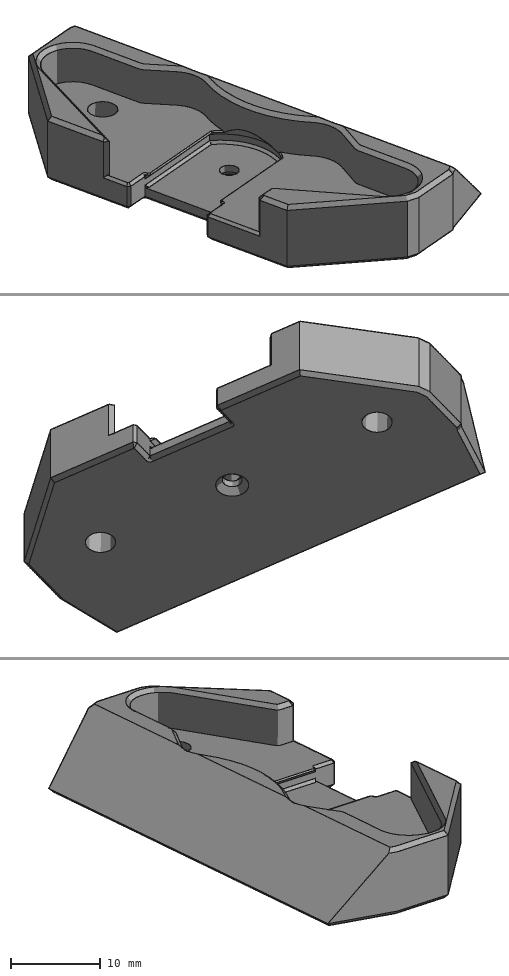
import cadquery as cq
import math

height = 8.2
depth = 25.8
edge_break = 0.5
small_break = 0.3
overlap = 0.55

left_side = -26.8
right_side = 26.8
front_half_width = 16.65
back_half_width = 24.6
side_back_y = 17.5
right_bevel = 0.55
right_bevel_top_y = 11.05
right_shoulder_x = 26.55
right_shoulder_y = 18.0

notch_half_width = 5.3
notch_depth = 3.0
recess_floor = 1.6
recess_radius = 7.3
recess_arc_setback = 1.5
recess_front_y = -5.35
undercut_z = 2.75
overhang_height = 2.4
lip_break = 0.15

pocket_floor = 3.4
pocket_back_y = 15.35
lobe_x = 21.75
lobe_radius = 3.65
lobe_angle = 28
arc_radius = 14.7
hump_radius = 4.2
wave_angle = 30
ramp_fillet = 1.6
opening_right = 12.4
opening_fillet = 0.8

hole_y = pocket_back_y - lobe_radius
recess_arc_y = hole_y - recess_arc_setback
center_hole_d = 2.2
countersink_depth = 0.75
side_hole_d = 3.4
side_hole_x = (-17.6, 19.35)


def body_outline():
    """Outline with the front notch; the right wall carries two extra bevels."""
    diagonal = -left_side - front_half_width
    right_bevel_x = right_side - right_bevel
    return [
        (-notch_half_width, notch_depth),
        (-notch_half_width, small_break),
        (-notch_half_width - small_break, 0),
        (-front_half_width, 0),
        (left_side, diagonal),
        (left_side, side_back_y),
        (-back_half_width, depth),
        (back_half_width, depth),
        (right_shoulder_x, right_shoulder_y),
        (right_side, side_back_y),
        (right_side, right_bevel_top_y),
        (right_bevel_x, right_bevel_x - front_half_width),
        (front_half_width, 0),
        (notch_half_width + small_break, 0),
        (notch_half_width, small_break),
        (notch_half_width, notch_depth),
    ]


def body_layer(bottom, top, taper=0):
    """Slice of the body; a 45 degree taper gives a chamfered edge."""
    outline = cq.Workplane("XY").polyline(body_outline()).close()
    return outline.extrude(top - bottom, taper=taper).translate((0, 0, bottom))


def make_body():
    middle = body_layer(edge_break, height - edge_break)
    top = body_layer(height - edge_break, height, 45)
    bottom = body_layer(0, edge_break, 45).mirror("XY").translate((0, 0, edge_break))
    body = middle.union(top).union(bottom)
    slope = height - edge_break
    back_cut = (
        cq.Workplane("YZ")
        .polyline([
            (depth - slope - overlap, height + overlap),
            (depth, edge_break),
            (depth + overlap, edge_break),
            (depth + overlap, height + overlap),
        ])
        .close()
        .extrude(right_side - left_side, both=True)
    )
    return body.cut(back_cut)


def lobe_points():
    """Tangent point of the straight front wall on the right lobe, and the middle of its arc."""
    tangent = math.radians(90 - lobe_angle)
    middle = math.radians(lobe_angle / 2)
    end_point = (
        lobe_x + lobe_radius * math.cos(tangent),
        hole_y - lobe_radius * math.sin(tangent),
    )
    middle_point = (
        lobe_x + lobe_radius * math.cos(middle),
        hole_y + lobe_radius * math.sin(middle),
    )
    return end_point, middle_point


def pocket_outline():
    """Pocket plan: two round lobes, a waved back wall and an opening through the front."""
    wave = math.radians(wave_angle)
    bulge_x = arc_radius * math.sin(wave)
    bulge_y = pocket_back_y + arc_radius * (1 - math.cos(wave))
    hump_x = bulge_x + hump_radius * math.sin(wave)
    hump_y = bulge_y + hump_radius * (1 - math.cos(wave))
    ramp_x = 2 * hump_x - bulge_x
    ramp_end_x = ramp_x + (bulge_y - pocket_back_y) / math.tan(wave)
    trim = ramp_fillet * math.tan(wave / 2)
    ramp_trim = (ramp_end_x - trim * math.cos(wave), pocket_back_y + trim * math.sin(wave))
    fillet_middle = (
        ramp_end_x + trim - ramp_fillet * math.sin(wave / 2),
        pocket_back_y + ramp_fillet * (1 - math.cos(wave / 2)),
    )
    (tangent_x, tangent_y), (lobe_mid_x, lobe_mid_y) = lobe_points()
    slope = math.tan(math.radians(lobe_angle))
    right_y = tangent_y - slope * (tangent_x - opening_right)
    turn = math.radians(90 - lobe_angle)
    corner_trim = opening_fillet * math.tan(turn / 2)
    slant = math.radians(lobe_angle)
    wall_trim = (
        opening_right + corner_trim * math.cos(slant),
        right_y + corner_trim * math.sin(slant),
    )
    corner_middle = (
        opening_right + opening_fillet * (1 - math.cos(turn / 2)),
        right_y - corner_trim + opening_fillet * math.sin(turn / 2),
    )
    flare_y = edge_break
    front_y = -overlap
    flare = flare_y - front_y
    opening_left = (tangent_y - flare_y) / slope - tangent_x
    return (
        cq.Workplane("XY")
        .moveTo(opening_right + flare, front_y)
        .lineTo(opening_right, flare_y)
        .lineTo(opening_right, right_y - corner_trim)
        .threePointArc(corner_middle, wall_trim)
        .lineTo(tangent_x, tangent_y)
        .threePointArc((lobe_mid_x, lobe_mid_y), (lobe_x, pocket_back_y))
        .lineTo(ramp_end_x + trim, pocket_back_y)
        .threePointArc(fillet_middle, ramp_trim)
        .lineTo(ramp_x, bulge_y)
        .threePointArc((hump_x, hump_y), (bulge_x, bulge_y))
        .threePointArc((0, pocket_back_y), (-bulge_x, bulge_y))
        .threePointArc((-hump_x, hump_y), (-ramp_x, bulge_y))
        .lineTo(-ramp_trim[0], ramp_trim[1])
        .threePointArc((-fillet_middle[0], fillet_middle[1]), (-ramp_end_x - trim, pocket_back_y))
        .lineTo(-lobe_x, pocket_back_y)
        .threePointArc((-lobe_mid_x, lobe_mid_y), (-tangent_x, tangent_y))
        .lineTo(opening_left, flare_y)
        .lineTo(opening_left - flare, front_y)
        .close()
    )


def cut_pocket(body):
    rim_z = height - edge_break
    walls = pocket_outline().extrude(height - pocket_floor).translate((0, 0, pocket_floor))
    rim = pocket_outline().extrude(edge_break, taper=-45).translate((0, 0, rim_z))
    floor_z = pocket_floor - small_break
    floor_edge = body_layer(floor_z, pocket_floor).cut(body_layer(floor_z, pocket_floor, 45))
    opening = pocket_outline().extrude(small_break).translate((0, 0, floor_z))
    return body.cut(walls).cut(rim).cut(floor_edge.intersect(opening))


def recess_outline(inset=0.0):
    """Recess plan, open towards the notch, with an arc as its back; inset shrinks it on all sides."""
    half = notch_half_width - inset
    radius = recess_radius - inset
    corner_y = recess_arc_y + math.sqrt(radius**2 - half**2)
    return (
        cq.Workplane("XY")
        .moveTo(-half, recess_front_y)
        .lineTo(half, recess_front_y)
        .lineTo(half, corner_y)
        .threePointArc((0, recess_arc_y + radius), (-half, corner_y))
        .close()
    )


def mouth_outline(inset):
    """45 degree flare from the overhanging lips out to the notch walls."""
    lip_half = notch_half_width - inset
    return (
        cq.Workplane("XY")
        .polyline([
            (-notch_half_width, notch_depth),
            (notch_half_width, notch_depth),
            (lip_half, notch_depth + inset),
            (-lip_half, notch_depth + inset),
        ])
        .close()
    )


def cut_recess(body):
    """Undercut recess: chamfered floor, upright wall, then a 45 degree overhang with a broken rim."""
    wall_z = recess_floor + small_break
    foot = recess_outline(small_break).extrude(small_break, taper=-45).translate((0, 0, recess_floor))
    wall = recess_outline().extrude(undercut_z - wall_z).translate((0, 0, wall_z))
    overhang = recess_outline().extrude(overhang_height, taper=45).translate((0, 0, undercut_z))
    body = body.cut(foot).cut(wall).cut(overhang)

    lip_z = pocket_floor - lip_break
    lip_inset = lip_z - undercut_z
    mouth = mouth_outline(lip_inset).extrude(pocket_floor - recess_floor).translate((0, 0, recess_floor))
    lip_rim = recess_outline(lip_inset).extrude(lip_break, taper=-45)
    mouth_rim = mouth_outline(lip_inset).extrude(lip_break, taper=-45)
    rim_limit = pocket_outline().extrude(lip_break)
    rim = lip_rim.union(mouth_rim).intersect(rim_limit).translate((0, 0, lip_z))
    return body.cut(mouth).cut(rim)


def cut_holes(body):
    """Plain side holes, and a centre hole countersunk from the base."""
    side_holes = (
        cq.Workplane("XY")
        .pushPoints([(x, hole_y) for x in side_hole_x])
        .circle(side_hole_d / 2)
        .extrude(height)
    )
    center_hole = cq.Workplane("XY").center(0, hole_y).circle(center_hole_d / 2).extrude(height)
    countersink = (
        cq.Workplane("XY")
        .center(0, hole_y)
        .circle(center_hole_d / 2 + countersink_depth)
        .extrude(countersink_depth, taper=45)
    )
    return body.cut(side_holes).cut(center_hole).cut(countersink)


result = cut_holes(cut_recess(cut_pocket(make_body())))